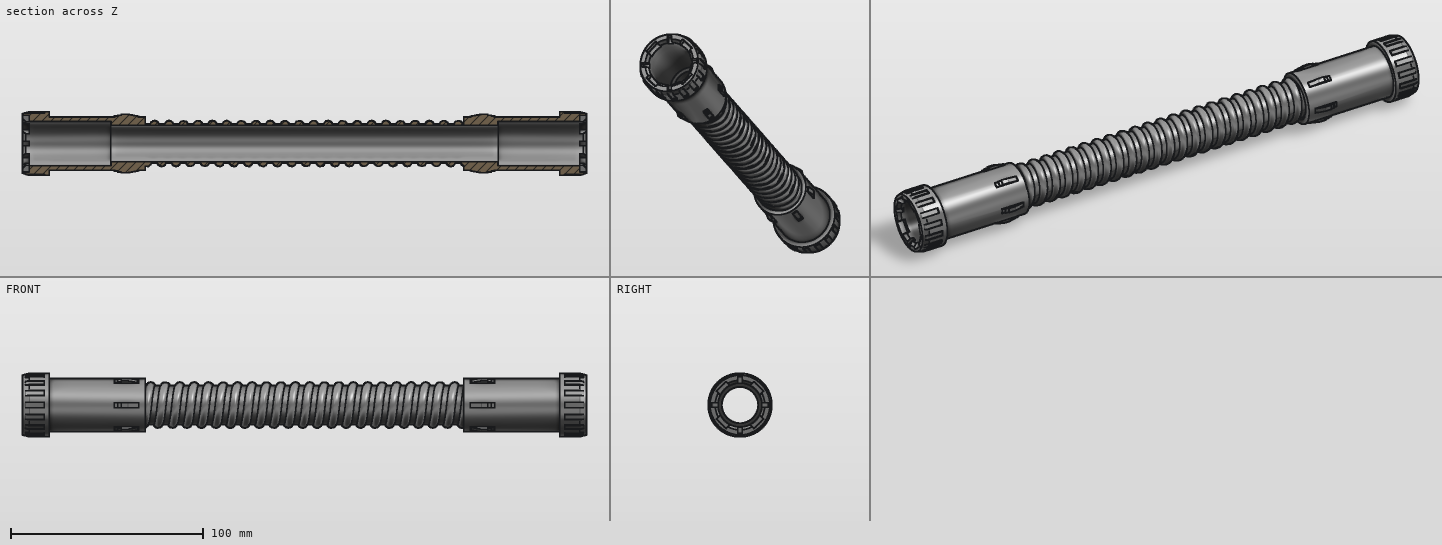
import cadquery as cq

total_length = 293.0
end_x = total_length / 2

collar_radius = 33.0 / 2
collar_length = 14.0
lead_length = 3.5
lead_depth = 1.03
groove_count = 16
groove_width = 2.78
groove_depth = 0.5
groove_floor_radius = collar_radius - groove_depth
groove_length = 11.5

mouth_radius = 13.0
mouth_depth = 1.8
notch_count = 4
slot_width = 2.3
slot_radius = 14.6
notch_width = 7.0
notch_radius = 13.8
notch_depth = 3.5

socket_radius = 27.8 / 2
socket_bore_radius = 11.5
socket_length = 64.0
socket_bore_depth = 46.0
hose_bore_radius = 9.5
hose_radius = 10.3
hose_length = total_length - 2 * socket_length

rib_count = 6
rib_width = 2.5
rib_start = 47.8
rib_step = 1.8
rib_peak_end = 54.8
rib_end = 60.5
rib_rise = 0.45
rib_tail_height = 0.3

exposed_turns = 22
ridge_turns = exposed_turns + 1
ridge_pitch = hose_length / exposed_turns
ridge_overrun = 4.7
ridge_start_x = -hose_length / 2 - ridge_overrun
ridge_radius = 12.0
ridge_base_width = 4.7
ridge_embed = 0.3
ridge_root_radius = hose_radius - ridge_embed


def disc(radius, start, length):
    """Solid cylinder along X."""
    return cq.Workplane("YZ").workplane(offset=start).circle(radius).extrude(length)


def around_axis(body, count):
    """Copies of a body evenly spaced around the X axis."""
    copies = cq.Workplane("XY")
    for i in range(count):
        copies = copies.add(body.rotate((0, 0, 0), (1, 0, 0), i * 360 / count))
    return copies.combine()


def collar():
    """Collar with a conical lead-in and axial grip grooves, at the -X end."""
    body = (
        cq.Workplane("XY")
        .moveTo(-end_x, 0)
        .lineTo(-end_x, collar_radius - lead_depth)
        .lineTo(-end_x + lead_length, collar_radius)
        .lineTo(-end_x + collar_length, collar_radius)
        .lineTo(-end_x + collar_length, 0)
        .close()
        .revolve(360, (0, 0, 0), (1, 0, 0))
    )
    groove = cq.Workplane("XY").box(
        groove_length, groove_width, collar_radius, centered=(False, True, False)
    ).translate((-end_x, 0, groove_floor_radius))
    return body.cut(around_axis(groove, groove_count))


def rib():
    """One rib on the +Y side: three steps up to a peak, then a ramp down."""
    first_radius = socket_radius + rib_rise
    second_radius = first_radius + rib_rise
    peak_radius = second_radius + rib_rise
    second_start = rib_start + rib_step
    peak_start = second_start + rib_step
    base_radius = socket_radius - 2 * rib_rise
    return (
        cq.Workplane("XY")
        .polyline([
            (rib_start, base_radius),
            (rib_start, first_radius),
            (second_start, first_radius),
            (second_start, second_radius),
            (peak_start, second_radius),
            (peak_start, peak_radius),
            (rib_peak_end, peak_radius),
            (rib_end, socket_radius + rib_tail_height),
            (rib_end, base_radius),
        ])
        .close()
        .extrude(rib_width / 2, both=True)
        .translate((-end_x, 0, 0))
    )


def mouth_notch(width, outer_radius):
    """Radial notch in the -X end face, reaching from the axis toward +Z."""
    block = cq.Workplane("XY").box(notch_depth, width, outer_radius, centered=(False, True, False))
    return block.translate((-end_x, 0, 0))


def fitting_bore():
    """Space removed inside the -X fitting: both bores, conical mouth and notches."""
    bore = disc(socket_bore_radius, -end_x, socket_bore_depth)
    hose_bore = disc(hose_bore_radius, -end_x, socket_length)
    mouth = cq.Workplane("XY").add(
        cq.Solid.makeCone(
            mouth_radius, socket_bore_radius, mouth_depth,
            pnt=cq.Vector(-end_x, 0, 0), dir=cq.Vector(1, 0, 0),
        )
    )
    slots = around_axis(mouth_notch(slot_width, slot_radius), notch_count)
    notches = around_axis(mouth_notch(notch_width, notch_radius), notch_count)
    notches = notches.rotate((0, 0, 0), (1, 0, 0), 180 / notch_count)
    return bore.union(hose_bore).union(mouth).union(slots).union(notches)


def fitting():
    """Complete hollow fitting at the -X end."""
    body = disc(socket_radius, -end_x, socket_length).union(collar()).union(around_axis(rib(), rib_count))
    return body.cut(fitting_bore())


def helical_ridge():
    """Round-crested ridge wound left-handed around X, starting at the +Z side."""
    path = cq.Wire.makeHelix(ridge_pitch, ridge_turns * ridge_pitch, hose_radius, lefthand=True)
    ridge = (
        cq.Workplane("XZ")
        .moveTo(ridge_root_radius, -ridge_base_width / 2)
        .threePointArc((ridge_radius, 0), (ridge_root_radius, ridge_base_width / 2))
        .close()
        .sweep(path, isFrenet=True)
    )
    along_x = ridge.rotate((0, 0, 0), (0, 1, 0), 90).rotate((0, 0, 0), (1, 0, 0), 180)
    return along_x.translate((ridge_start_x, 0, 0))


def ridged_hose():
    """Hollow hose with its ridge, cut off flush with both shoulders."""
    pipe = disc(hose_radius, -end_x, total_length).cut(disc(hose_bore_radius, -end_x, total_length))
    return pipe.union(helical_ridge()).intersect(disc(socket_radius, -hose_length / 2, hose_length))


left_fitting = fitting()
both_fittings = cq.Workplane("XY").add(left_fitting).add(left_fitting.mirror("YZ"))

result = ridged_hose().union(both_fittings, glue=True)